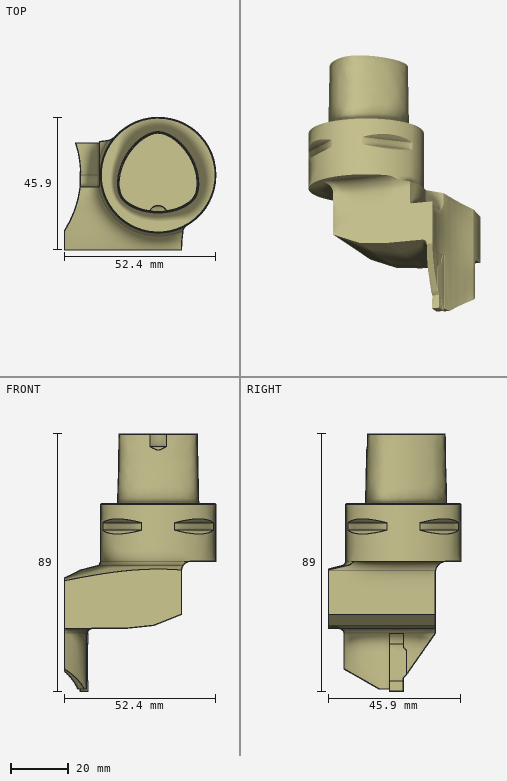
import cadquery as cq
import math


TOTAL_WIDTH = 52.4
TOTAL_DEPTH = 45.9
TOTAL_HEIGHT = 89.0

FLANGE_DIAMETER = 40.0
FLANGE_RADIUS = FLANGE_DIAMETER / 2
FLANGE_HEIGHT = 20.0
FLANGE_CHAMFER = 0.3

SHANK_HEIGHT = 24.0
SHANK_BASE_RADIUS = 14.1
SHANK_TOP_RADIUS = 13.5
LOBE_OFFSET = 1.0
LOBE_COUNT = 3
LOBE_POINTS = 36

NOTCH_RADIUS = 3.1
NOTCH_AXIS_Y = -13.6
NOTCH_DEPTH = 4.3
NOTCH_TIP_ANGLE = 120.0

SLOT_COUNT = 4
SLOT_FIRST_ANGLE = 45.0
SLOT_DEPTH = 2.4
SLOT_CENTER_Z = -7.9
SLOT_FLOOR_HEIGHT = 2.5
SLOT_MOUTH_HEIGHT = 5.25

HEAD_LEFT = FLANGE_RADIUS - TOTAL_WIDTH
HEAD_RIGHT = 8.1
HEAD_FRONT = FLANGE_RADIUS - TOTAL_DEPTH
HEAD_BACK = 11.1
HEAD_BOTTOM = -43.2
RIGHT_FLARE = 3.1
BACK_FLARE = 3.8
UNDERSIDE_FLAT_END = -10.8
UNDERSIDE_KNEE_X = -1.5
UNDERSIDE_KNEE_Z = -42.2
UNDERSIDE_END_Z = -38.4

SHOULDER_ANGLE = 14.5
SHOULDER_OUTER_RADIUS = 53.4
SHOULDER_BLEND = 1.4

BLADE_LEFT = -26.8
BLADE_RIGHT = -24.4
BLADE_INNER_RADIUS = 35.6
BLADE_FRONT = -20.6
BLADE_FRONT_END_Z = -57.2
BLADE_TIP_Z = -64.2
BLADE_TIP_FRONT = -8.4
BLADE_BACK_END_Z = -44.9
BLADE_ROOT_RADIUS = 1.6
BLADE_BULGE = BLADE_RIGHT - HEAD_LEFT
BLADE_OUTER_RADIUS = (BLADE_FRONT**2 + BLADE_BULGE**2) / (2 * BLADE_BULGE)

STEP_WALL_X = -20.4
STEP_FLOOR_Z = -29.8
STEP_END_Y = -4.2
STEP_CORNER_RADIUS = 4.2
STEP_WALL_FILLET = 0.45

INSERT_TOP = -45.0
INSERT_BOTTOM = SHANK_HEIGHT - TOTAL_HEIGHT
INSERT_FRONT = -4.8
INSERT_TIP_BACK = 0.0
INSERT_BACK = 1.1
INSERT_LEFT = -27.0
INSERT_RIGHT = -24.2
INSERT_WAIST_RIGHT = BLADE_RIGHT
INSERT_TIP_LENGTH = 4.6
INSERT_RAMP = INSERT_BACK - INSERT_TIP_BACK
CHIP_DEPTH = 0.2
CHIP_LENGTH = 3.6
CHIP_END_GAP = 0.4
CHIP_INNER_WIDTH = 2.2
CHIP_OUTER_WIDTH = 3.4

MARGIN = 8.9


def box(x_min, x_max, y_min, y_max, z_min, z_max):
    return cq.Workplane("XY").box(
        x_max - x_min, y_max - y_min, z_max - z_min, centered=False
    ).translate((x_min, y_min, z_min))


def lobed_point(radius, angle):
    """Point on a constant-width profile with one lobe toward +Y."""
    support = radius - LOBE_OFFSET * math.sin(LOBE_COUNT * angle)
    slope = -LOBE_COUNT * LOBE_OFFSET * math.cos(LOBE_COUNT * angle)
    return (
        support * math.cos(angle) - slope * math.sin(angle),
        support * math.sin(angle) + slope * math.cos(angle),
    )


def lobed_wire(radius, z):
    angles = [2 * math.pi * index / LOBE_POINTS for index in range(LOBE_POINTS)]
    points = [lobed_point(radius, angle) for angle in angles]
    return cq.Workplane("XY", origin=(0, 0, z)).spline(points, periodic=True).wire().val()


def make_shank():
    base = lobed_wire(SHANK_BASE_RADIUS, 0)
    top = lobed_wire(SHANK_TOP_RADIUS, SHANK_HEIGHT)
    return cq.Workplane(cq.Solid.makeLoft([base, top])).cut(make_key_notch())


def make_key_notch():
    floor_z = SHANK_HEIGHT - NOTCH_DEPTH
    tip_z = floor_z - NOTCH_RADIUS / math.tan(math.radians(NOTCH_TIP_ANGLE / 2))
    drill = (
        cq.Workplane("XZ")
        .polyline([
            (0, SHANK_HEIGHT + MARGIN),
            (NOTCH_RADIUS, SHANK_HEIGHT + MARGIN),
            (NOTCH_RADIUS, floor_z),
            (0, tip_z),
        ])
        .close()
        .revolve(360, (0, 0), (0, 1))
    )
    return drill.translate((0, NOTCH_AXIS_Y, 0))


def make_flange():
    flange = cq.Workplane("XY").circle(FLANGE_RADIUS).extrude(-FLANGE_HEIGHT)
    flange = flange.faces(">Z").edges().chamfer(FLANGE_CHAMFER)
    for index in range(SLOT_COUNT):
        angle = SLOT_FIRST_ANGLE + index * 360 / SLOT_COUNT
        flange = flange.cut(make_gripper_slot().rotate((0, 0, 0), (0, 0, 1), angle))
    return flange


def make_gripper_slot():
    """Straight trapezoidal slot cut along a chord on the +X side."""
    floor_x = FLANGE_RADIUS - SLOT_DEPTH
    half_floor = SLOT_FLOOR_HEIGHT / 2
    half_mouth = SLOT_MOUTH_HEIGHT / 2
    return (
        cq.Workplane("XZ")
        .polyline([
            (floor_x, SLOT_CENTER_Z - half_floor),
            (FLANGE_RADIUS, SLOT_CENTER_Z - half_mouth),
            (FLANGE_RADIUS, SLOT_CENTER_Z + half_mouth),
            (floor_x, SLOT_CENTER_Z + half_floor),
        ])
        .close()
        .extrude(FLANGE_RADIUS, both=True)
    )


def make_head_block():
    """Block with its shaped underside and a flare into the flange on the right."""
    profile = (
        cq.Workplane("XZ")
        .moveTo(HEAD_LEFT, -FLANGE_HEIGHT)
        .lineTo(HEAD_LEFT, HEAD_BOTTOM)
        .lineTo(UNDERSIDE_FLAT_END, HEAD_BOTTOM)
        .lineTo(UNDERSIDE_KNEE_X, UNDERSIDE_KNEE_Z)
        .lineTo(HEAD_RIGHT, UNDERSIDE_END_Z)
        .lineTo(HEAD_RIGHT, -FLANGE_HEIGHT - RIGHT_FLARE)
        .radiusArc((HEAD_RIGHT + RIGHT_FLARE, -FLANGE_HEIGHT), RIGHT_FLARE)
        .close()
    )
    return profile.extrude(-HEAD_FRONT + MARGIN, both=True)


def make_blade_blank():
    """Convex blade body below the head; its concave face is cut later."""
    center_x = BLADE_RIGHT - BLADE_OUTER_RADIUS
    return (
        cq.Workplane("XY", origin=(center_x, 0, BLADE_TIP_Z))
        .circle(BLADE_OUTER_RADIUS)
        .extrude(HEAD_BOTTOM - BLADE_TIP_Z)
        .intersect(box(
            HEAD_LEFT, BLADE_RIGHT + MARGIN,
            HEAD_FRONT, -HEAD_FRONT,
            BLADE_TIP_Z, HEAD_BOTTOM,
        ))
    )


def make_side_envelope():
    """Side outline of head and blade, extruded along X."""
    profile = (
        cq.Workplane("YZ", origin=(HEAD_LEFT, 0, 0))
        .moveTo(HEAD_FRONT, -FLANGE_HEIGHT)
        .lineTo(HEAD_FRONT, BLADE_FRONT_END_Z)
        .lineTo(BLADE_FRONT, BLADE_FRONT_END_Z)
        .lineTo(BLADE_TIP_FRONT, BLADE_TIP_Z)
        .lineTo(INSERT_FRONT, BLADE_TIP_Z)
        .lineTo(INSERT_BACK, INSERT_BOTTOM + INSERT_TIP_LENGTH + INSERT_RAMP)
        .lineTo(HEAD_BACK, BLADE_BACK_END_Z)
        .lineTo(HEAD_BACK, -FLANGE_HEIGHT - BACK_FLARE)
        .radiusArc((HEAD_BACK + BACK_FLARE, -FLANGE_HEIGHT), BACK_FLARE)
        .close()
    )
    return profile.extrude(HEAD_RIGHT - HEAD_LEFT + MARGIN)


def make_shoulder_envelope():
    """Everything below the flange's conical shoulder and its blend radius."""
    slope = math.radians(SHOULDER_ANGLE)
    top_radius = FLANGE_RADIUS + SHOULDER_BLEND * (1 - math.sin(slope))
    top_z = -FLANGE_HEIGHT - SHOULDER_BLEND * math.cos(slope)
    outer_z = top_z - (SHOULDER_OUTER_RADIUS - top_radius) * math.tan(slope)
    return (
        cq.Workplane("XZ")
        .moveTo(0, -FLANGE_HEIGHT)
        .lineTo(FLANGE_RADIUS, -FLANGE_HEIGHT)
        .radiusArc((top_radius, top_z), -SHOULDER_BLEND)
        .lineTo(SHOULDER_OUTER_RADIUS, outer_z)
        .lineTo(SHOULDER_OUTER_RADIUS, BLADE_TIP_Z)
        .lineTo(0, BLADE_TIP_Z)
        .close()
        .revolve(360, (0, 0), (0, 1))
    )


def make_clearance_step():
    step = box(
        HEAD_LEFT - MARGIN, STEP_WALL_X, STEP_END_Y, HEAD_BACK + MARGIN, STEP_FLOOR_Z, 0
    )
    step = step.edges("|X and <Y and <Z").fillet(STEP_CORNER_RADIUS)
    return step.faces(">X").edges("not (>Y or >Z)").fillet(STEP_WALL_FILLET)


def make_blade_hollow():
    """Cylinder that leaves the concave left face of head and blade."""
    center_x = BLADE_LEFT - BLADE_INNER_RADIUS
    return (
        cq.Workplane("XY", origin=(center_x, 0, BLADE_TIP_Z))
        .circle(BLADE_INNER_RADIUS)
        .extrude(-BLADE_TIP_Z)
    )


def make_head():
    head = make_head_block().union(make_blade_blank())
    root_edge = cq.selectors.BoxSelector(
        (HEAD_LEFT, HEAD_FRONT, HEAD_BOTTOM - BLADE_ROOT_RADIUS),
        (BLADE_RIGHT + BLADE_ROOT_RADIUS, -HEAD_FRONT, HEAD_BOTTOM + BLADE_ROOT_RADIUS),
    )
    head = head.edges("%CIRCLE").edges(root_edge).fillet(BLADE_ROOT_RADIUS)
    head = head.intersect(make_side_envelope())
    head = head.intersect(make_shoulder_envelope())
    return head.cut(make_blade_hollow()).cut(make_clearance_step())


def make_insert_blank():
    """Insert outline with two narrow tips and a wider waist."""
    lower_tip = INSERT_BOTTOM + INSERT_TIP_LENGTH
    upper_tip = INSERT_TOP - INSERT_TIP_LENGTH
    return (
        cq.Workplane("YZ", origin=(INSERT_LEFT, 0, 0))
        .polyline([
            (INSERT_FRONT, INSERT_BOTTOM),
            (INSERT_TIP_BACK, INSERT_BOTTOM),
            (INSERT_TIP_BACK, lower_tip),
            (INSERT_BACK, lower_tip + INSERT_RAMP),
            (INSERT_BACK, upper_tip - INSERT_RAMP),
            (INSERT_TIP_BACK, upper_tip),
            (INSERT_TIP_BACK, INSERT_TOP),
            (INSERT_FRONT, INSERT_TOP),
        ])
        .close()
        .extrude(INSERT_RIGHT - INSERT_LEFT)
    )


def make_chip_recess(end_z, inward):
    """Shallow recess in the left face at one end; inward is +1 or -1 along Z."""
    outer_z = end_z + inward * CHIP_END_GAP
    inner_z = end_z + inward * CHIP_LENGTH
    return (
        cq.Workplane("YZ", origin=(INSERT_LEFT, 0, 0))
        .polyline([
            (INSERT_TIP_BACK, outer_z),
            (INSERT_TIP_BACK - CHIP_OUTER_WIDTH, outer_z),
            (INSERT_TIP_BACK - CHIP_INNER_WIDTH, inner_z),
            (INSERT_TIP_BACK, inner_z),
        ])
        .close()
        .extrude(CHIP_DEPTH)
    )


def make_insert():
    waist_relief = box(
        INSERT_WAIST_RIGHT, INSERT_RIGHT, INSERT_FRONT, INSERT_BACK,
        INSERT_BOTTOM + CHIP_LENGTH, INSERT_TOP - CHIP_LENGTH,
    )
    insert = make_insert_blank().cut(waist_relief)
    for end_z, inward in ((INSERT_BOTTOM, 1), (INSERT_TOP, -1)):
        insert = insert.cut(make_chip_recess(end_z, inward))
    return insert


def make_holder():
    """One-piece shank, flange, head and blade with a seat for the insert."""
    holder = make_flange().union(make_shank()).union(make_head())
    seat = make_insert_blank()
    opening = seat.translate((INSERT_LEFT - INSERT_RIGHT, 0, 0))
    return holder.cut(seat).cut(opening)


holder = make_holder()
insert = make_insert()

result = cq.Compound.makeCompound([holder.solids().val(), insert.solids().val()])